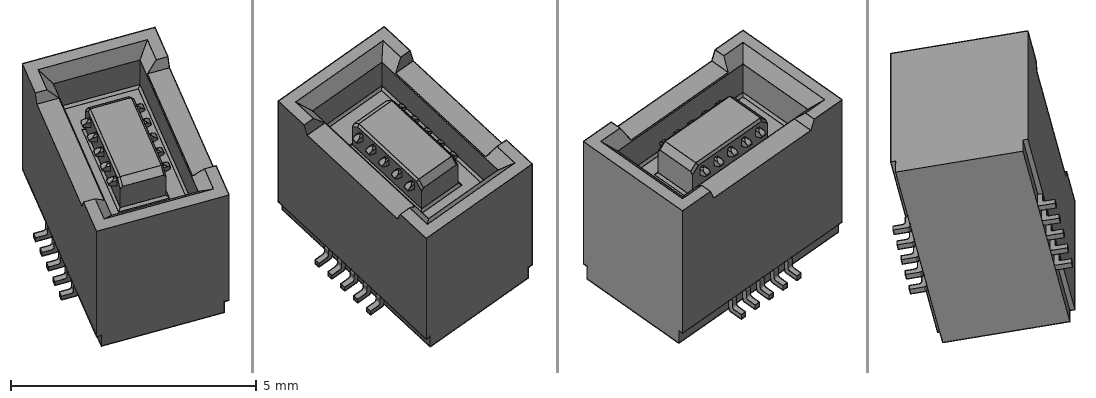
import cadquery as cq

length = 4.6
width = 2.865
top_z = 3.9
bottom_z = 0.055
step_z = 0.415
step_inset = 0.105

wall = 0.495
mouth_bevel = 0.245
mouth_bevel_depth = 0.275
floor_z = 2.76
floor_bevel = 0.055

notch_depth = 0.255
notch_top_length = 2.99
notch_bottom_length = 2.795

tongue_length = 2.155
tongue_width = 0.99
tongue_top_z = 3.645
tongue_end_bevel = 0.145
tongue_side_bevel = 0.05

contacts_per_row = 5
pitch = 0.4
contact_width = 0.125
bump_bottom_z = 3.275
bump_top_z = 3.495
bump_flat = 0.045
bump_reach = 0.225
bump_lower_rise = 0.105
bump_nose_radius = 0.045
bump_tip_bevel = 0.04
tail_span = 3.38
tail_top_z = 0.385
foot_thickness = 0.13
bend_radius = 0.06

cavity_length = length - 2 * wall
cavity_width = width - 2 * wall
tongue_face = tongue_width / 2
tail_wall = width / 2 - step_inset


def rectangle_loft(bottom_size, low_z, top_size, high_z):
    """Solid tapering between two centred rectangles."""
    return (
        cq.Workplane("XY", origin=(0, 0, low_z))
        .rect(*bottom_size)
        .workplane(offset=high_z - low_z)
        .rect(*top_size)
        .loft(ruled=True)
    )


def block(x_size, y_size, low_z, high_z):
    """Centred box between two heights."""
    return cq.Workplane("XY", origin=(0, 0, low_z)).rect(x_size, y_size).extrude(high_z - low_z)


def make_housing():
    """Outer block, with its base stepped in along both long sides."""
    base = block(length, width - 2 * step_inset, bottom_z, step_z)
    return base.union(block(length, width, step_z, top_z))


def make_cavity():
    """Space removed from the housing above the cavity floor."""
    cavity_size = (cavity_length, cavity_width)
    floor_size = (cavity_length - 2 * floor_bevel, cavity_width - 2 * floor_bevel)
    mouth_size = (cavity_length + 2 * mouth_bevel, cavity_width + 2 * mouth_bevel)
    floor_bevel_z = floor_z + floor_bevel
    mouth_bevel_z = top_z - mouth_bevel_depth
    lower = rectangle_loft(floor_size, floor_z, cavity_size, floor_bevel_z)
    middle = block(cavity_length, cavity_width, floor_bevel_z, mouth_bevel_z)
    mouth = rectangle_loft(cavity_size, mouth_bevel_z, mouth_size, top_z)
    return lower.union(middle).union(mouth)


def make_notch():
    """Trapezoidal channel cut across both long walls."""
    bottom = top_z - notch_depth
    outline = [
        (-notch_top_length / 2, top_z),
        (-notch_bottom_length / 2, bottom),
        (notch_bottom_length / 2, bottom),
        (notch_top_length / 2, top_z),
    ]
    return cq.Workplane("XZ").polyline(outline).close().extrude(width / 2, both=True)


def make_tongue():
    """Tongue with bevelled upper edges and a flared root."""
    shoulder_z = tongue_top_z - tongue_end_bevel
    half_length = tongue_length / 2
    half_top = half_length - tongue_end_bevel
    outline = [
        (-half_length, floor_z),
        (-half_length, shoulder_z),
        (-half_top, tongue_top_z),
        (half_top, tongue_top_z),
        (half_length, shoulder_z),
        (half_length, floor_z),
    ]
    body = cq.Workplane("XZ").polyline(outline).close().extrude(tongue_face, both=True)
    above_shoulder = cq.selectors.BoxSelector(
        (-length, -width, shoulder_z), (length, width, top_z)
    )
    side_edges = body.faces("|Y").edges(above_shoulder)
    body = side_edges.chamfer(tongue_side_bevel)
    root_size = (tongue_length + 2 * floor_bevel, tongue_width + 2 * floor_bevel)
    root = rectangle_loft(root_size, floor_z, (tongue_length, tongue_width), floor_z + floor_bevel)
    return body.union(root)


def make_bump():
    """Contact bump on the +Y face of the tongue, with a round nose and a bevelled tip."""
    nose_y = tongue_face + bump_reach
    outline = [
        (0, bump_bottom_z),
        (tongue_face, bump_bottom_z),
        (nose_y, bump_bottom_z + bump_lower_rise),
        (tongue_face + bump_flat, bump_top_z),
        (0, bump_top_z),
    ]
    bump = cq.Workplane("YZ").polyline(outline).close().extrude(contact_width / 2, both=True)
    bump = bump.edges("|X and >Y").fillet(bump_nose_radius)
    half = contact_width / 2
    tip = [
        (-half, bump_bottom_z),
        (half, bump_bottom_z),
        (half, bump_top_z - bump_tip_bevel),
        (half - bump_tip_bevel, bump_top_z),
        (bump_tip_bevel - half, bump_top_z),
        (-half, bump_top_z - bump_tip_bevel),
    ]
    return bump.intersect(cq.Workplane("XZ").polyline(tip).close().extrude(width / 2, both=True))


def make_tail():
    """L-shaped solder tail against the +Y step of the housing."""
    leg_face = width / 2
    toe = tail_span / 2
    return (
        cq.Workplane("YZ", origin=(-contact_width / 2, 0, 0))
        .moveTo(tail_wall + bend_radius, 0)
        .lineTo(toe, 0)
        .lineTo(toe, foot_thickness)
        .lineTo(leg_face + bend_radius, foot_thickness)
        .radiusArc((leg_face, foot_thickness + bend_radius), bend_radius)
        .lineTo(leg_face, tail_top_z - bend_radius)
        .radiusArc((leg_face - bend_radius, tail_top_z), -bend_radius)
        .lineTo(tail_wall, tail_top_z)
        .lineTo(tail_wall, bend_radius)
        .radiusArc((tail_wall + bend_radius, 0), -bend_radius)
        .close()
        .extrude(contact_width)
    )


result = make_housing().cut(make_cavity()).cut(make_notch()).union(make_tongue())

contact = make_bump().union(make_tail())
for index in range(contacts_per_row):
    x = (index - (contacts_per_row - 1) / 2) * pitch
    result = result.union(contact.translate((x, 0, 0)))
    result = result.union(contact.mirror("XZ").translate((x, 0, 0)))